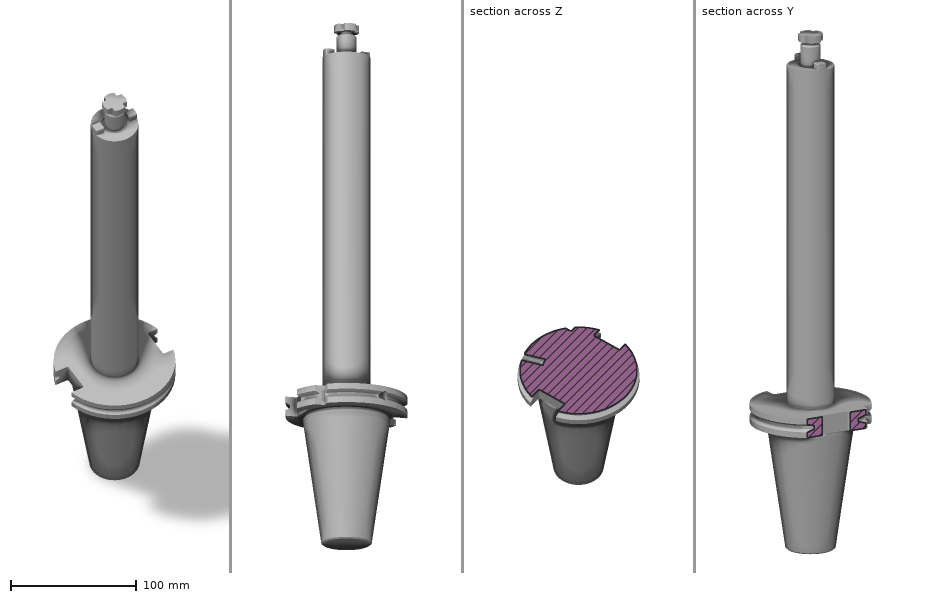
import cadquery as cq
import math

total_height = 427.8
gauge_height = 101.5
flange_gap = 3.65
flange_thickness = 16.0
shoulder_height = 401.5
pilot_length = 17.5
head_thickness = 6.0

gauge_radius = 69.7 / 2
taper_ratio = 7 / 24
small_radius = gauge_radius - gauge_height * taper_ratio / 2
small_end_chamfer = 1.05
land_height = 1.3
neck_radius = 34.0
neck_flare_height = 1.05

flange_radius = 48.8
groove_opening = 6.5
groove_depth = 3.5
groove_flank_angle = 30.0
drive_slot_width = 25.5
front_slot_floor = 35.5
back_slot_floor = 37.5
corner_notch_offset = 30.5
cutout_corner_radius = 1.05
groove_hole_diameter = 7.5
groove_hole_depth = 19.5
groove_hole_angle = 199.0

body_radius = 38.0 / 2
body_root_fillet = 1.0
pilot_radius = 8.0
pilot_chamfer = 1.05
undercut_radius = 7.3
undercut_height = 1.5
relief_radius = 10.3
relief_depth = 1.0

tenon_width = 8.0
tenon_height = 5.0
tenon_inner_distance = 11.5
tenon_chamfer = 0.65

screw_radius = 4.5
head_radius = 10.0
lobe_half_width = 4.5
lobe_root_radius = 1.0

flange_bottom = gauge_height + flange_gap
flange_top = flange_bottom + flange_thickness
pilot_top = shoulder_height + pilot_length


def revolve_profile(points):
    """Turn a list of (radius, height) points around the Z axis."""
    return cq.Workplane("XZ").polyline(points).close().revolve(360, (0, 0, 0), (0, 1, 0))


def make_taper():
    chamfer_radius = small_radius - small_end_chamfer
    return revolve_profile([
        (0, 0),
        (chamfer_radius, 0),
        (small_radius + small_end_chamfer * taper_ratio / 2, small_end_chamfer),
        (gauge_radius, gauge_height),
        (gauge_radius, gauge_height + land_height),
        (neck_radius, gauge_height + land_height + neck_flare_height),
        (neck_radius, flange_bottom),
        (0, flange_bottom),
    ])


def flange_block(low_corner, high_corner):
    """Block between two (x, y) corners with rounded upright edges, as thick as the flange."""
    width = high_corner[0] - low_corner[0]
    depth = high_corner[1] - low_corner[1]
    return (
        cq.Workplane("XY")
        .box(width, depth, flange_thickness, centered=False)
        .edges("|Z")
        .fillet(cutout_corner_radius)
        .translate((low_corner[0], low_corner[1], flange_bottom))
    )


def make_flange():
    groove_middle = (flange_bottom + flange_top) / 2
    half_opening = groove_opening / 2
    half_floor = half_opening - groove_depth * math.tan(math.radians(groove_flank_angle))
    floor_radius = flange_radius - groove_depth
    flange = revolve_profile([
        (0, flange_bottom),
        (flange_radius, flange_bottom),
        (flange_radius, groove_middle - half_opening),
        (floor_radius, groove_middle - half_floor),
        (floor_radius, groove_middle + half_floor),
        (flange_radius, groove_middle + half_opening),
        (flange_radius, flange_top),
        (0, flange_top),
    ])

    half_slot = drive_slot_width / 2
    rim = flange_radius + cutout_corner_radius
    cutouts = (
        flange_block((-half_slot, -rim), (half_slot, -front_slot_floor)),
        flange_block((-half_slot, back_slot_floor), (half_slot, rim)),
        flange_block((-rim, corner_notch_offset), (-corner_notch_offset, rim)),
    )
    for cutout in cutouts:
        flange = flange.cut(cutout)

    angle = math.radians(groove_hole_angle)
    outward = cq.Vector(math.cos(angle), math.sin(angle), 0)
    start = outward * flange_radius + cq.Vector(0, 0, groove_middle)
    hole = cq.Solid.makeCylinder(groove_hole_diameter / 2, groove_hole_depth, start, outward * -1)
    return flange.cut(hole)


def make_body():
    body = cq.Workplane("XY").workplane(offset=flange_top).circle(body_radius).extrude(
        shoulder_height - flange_top)
    relief = cq.Workplane("XY").workplane(offset=shoulder_height - relief_depth).circle(
        relief_radius).extrude(relief_depth)
    root = (
        cq.Workplane("XZ")
        .moveTo(0, flange_top)
        .lineTo(body_radius + body_root_fillet, flange_top)
        .radiusArc((body_radius, flange_top + body_root_fillet), body_root_fillet)
        .lineTo(0, flange_top + body_root_fillet)
        .close()
        .revolve(360, (0, 0, 0), (0, 1, 0))
    )
    return body.cut(relief).union(root)


def make_tenons():
    tenon_length = body_radius - tenon_inner_distance
    tenon_middle = tenon_inner_distance + tenon_length / 2
    bars = (
        cq.Workplane("XY")
        .workplane(offset=shoulder_height)
        .pushPoints([(0, -tenon_middle), (0, tenon_middle)])
        .rect(tenon_width, tenon_length)
        .extrude(tenon_height)
    )
    envelope = (
        cq.Workplane("XY").workplane(offset=shoulder_height).circle(body_radius).extrude(tenon_height)
    )
    tenons = bars.intersect(envelope)
    return tenons.edges("|Z or (|Y and >Z)").chamfer(tenon_chamfer)


def make_pilot():
    relief_floor = shoulder_height - relief_depth
    undercut_top = shoulder_height + undercut_height
    return revolve_profile([
        (0, relief_floor),
        (undercut_radius, relief_floor),
        (undercut_radius, undercut_top),
        (pilot_radius, undercut_top),
        (pilot_radius, pilot_top - pilot_chamfer),
        (pilot_radius - pilot_chamfer, pilot_top),
        (0, pilot_top),
    ])


def make_screw():
    head_bottom = total_height - head_thickness
    shank = cq.Workplane("XY").workplane(offset=pilot_top).circle(screw_radius).extrude(
        head_bottom - pilot_top)
    head_plane = cq.Workplane("XY").workplane(offset=head_bottom)
    disc = head_plane.circle(head_radius).extrude(head_thickness)
    arm_along_x = head_plane.rect(2 * head_radius, 2 * lobe_half_width).extrude(head_thickness)
    arm_along_y = head_plane.rect(2 * lobe_half_width, 2 * head_radius).extrude(head_thickness)
    cross = arm_along_x.union(arm_along_y)
    reach = lobe_half_width + lobe_root_radius
    inner_corners = cq.selectors.BoxSelector((-reach, -reach, head_bottom), (reach, reach, total_height))
    cross = cross.edges("|Z").edges(inner_corners).fillet(lobe_root_radius)
    return shank.union(disc.intersect(cross))


result = make_taper()
for section in (make_flange(), make_body(), make_tenons(), make_pilot(), make_screw()):
    result = result.union(section)